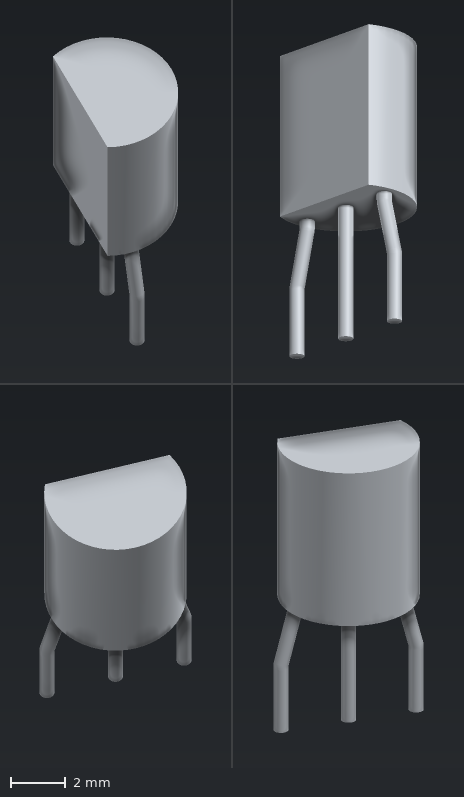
import cadquery as cq
import math

housing_height = 6.22
housing_radius = 2.6
flat_distance = 1.07

total_height = 11.3
overall_width = 5.76
lead_diameter = 0.55
lead_radius = lead_diameter / 2
lead_length = total_height - housing_height

root_offset = 2.06
tip_offset = overall_width / 2 - lead_radius
stub_length = 0.24
splay_angle = math.radians(14.3)
bend_radius = 0.6


def make_housing():
    """Cylinder cut off by a flat."""
    half_flat = math.sqrt(housing_radius**2 - flat_distance**2)
    return (
        cq.Workplane("XY")
        .moveTo(-half_flat, -flat_distance)
        .threePointArc((0, housing_radius), (half_flat, -flat_distance))
        .close()
        .extrude(housing_height)
    )


def make_straight_lead():
    return cq.Workplane("XY").circle(lead_radius).extrude(-lead_length)


def make_bent_lead(side):
    """Lead on the given side (-1 or 1), splayed outward and then vertical again."""
    bend_shift = bend_radius * (1 - math.cos(splay_angle))
    bend_drop = bend_radius * math.sin(splay_angle)
    slope_shift = tip_offset - root_offset - 2 * bend_shift
    slope_drop = slope_shift / math.tan(splay_angle)

    upper_bend_end = (side * (root_offset + bend_shift), -stub_length - bend_drop)
    slope_end = (side * (tip_offset - bend_shift), upper_bend_end[1] - slope_drop)
    lower_bend_end = (side * tip_offset, slope_end[1] - bend_drop)

    path = (
        cq.Workplane("XZ")
        .moveTo(side * root_offset, 0)
        .lineTo(side * root_offset, -stub_length)
        .tangentArcPoint(upper_bend_end, relative=False)
        .lineTo(*slope_end)
        .tangentArcPoint(lower_bend_end, relative=False)
        .lineTo(side * tip_offset, -lead_length)
    )
    section = cq.Workplane("XY").center(side * root_offset, 0).circle(lead_radius)
    return section.sweep(path)


housing = make_housing()
straight_lead = make_straight_lead()
bent_leads = [make_bent_lead(side) for side in (-1, 1)]

result = cq.Compound.makeCompound(
    [housing.val(), straight_lead.val(), *[lead.val() for lead in bent_leads]]
)